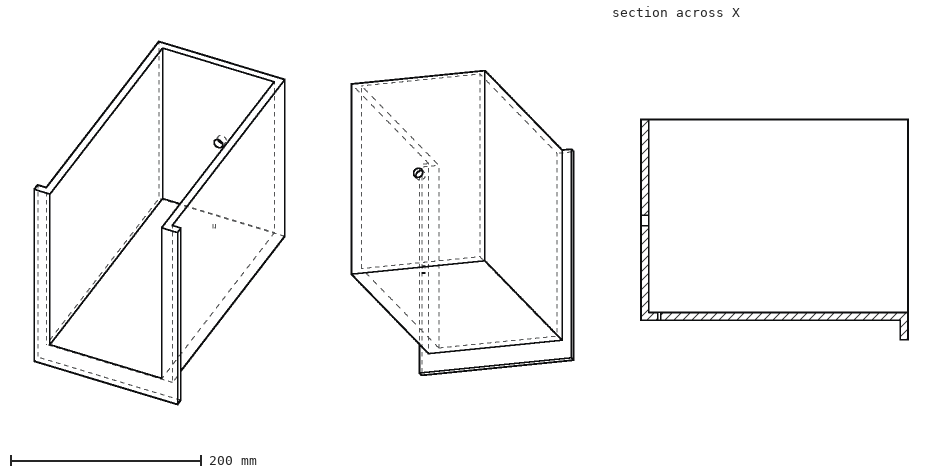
import cadquery as cq

flange_width = 167.0
length = 280.0
height = 231.0

wall = 8.5
cavity_width = 130.0
box_width = cavity_width + 2 * wall
flange_thickness = 8.5
flange_drop = 20.5
floor_top = flange_drop + wall

back_hole_diameter = 10.0
back_hole_height = 125.2
floor_hole_diameter = 2.5
floor_hole_setback = 19.0


def block(width, front, back, bottom, top):
    """Block centred on X, between the given Y and Z limits."""
    return (
        cq.Workplane("XY", origin=(0, front, bottom))
        .rect(width, back - front)
        .extrude(top - bottom)
        .translate((0, (back - front) / 2, 0))
    )


flange = block(flange_width, 0, flange_thickness, 0, height)
box = block(box_width, 0, length, flange_drop, height)
cavity = block(cavity_width, 0, length - wall, floor_top, height)

back_hole = (
    cq.Workplane("XZ", origin=(0, length, back_hole_height))
    .circle(back_hole_diameter / 2)
    .extrude(wall)
)

floor_hole = (
    cq.Workplane("XY", origin=(0, length - floor_hole_setback, flange_drop))
    .circle(floor_hole_diameter / 2)
    .extrude(wall)
)

result = flange.union(box).cut(cavity).cut(back_hole).cut(floor_hole)